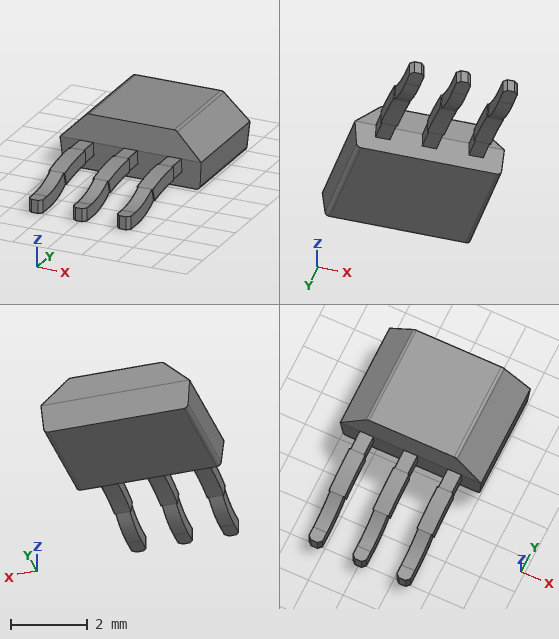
import cadquery as cq
import math


overall_length = 6.18
housing_width = 4.06
housing_length = 3.0
upper_height = 0.755
lower_height = 0.815
draft_inset = 0.07
upper_side_inset = upper_height
edge_radius = 0.125

lead_count = 3
lead_pitch = 1.265
lead_width = 0.39
bend_width = 0.45
shank_thickness = 0.385
foot_thickness = 0.37
tip_y = housing_length - overall_length
tip_chamfer = 0.1
foot_top_z = -0.42
foot_bottom_z = foot_top_z - foot_thickness

shank_top = (-0.56, 0.0)
shank_bottom = (-0.545, -shank_thickness)
joint_top = (-1.82, -0.155)
joint_bottom = (-1.705, -0.51)
foot_flat_top = (-2.825, foot_top_z)
foot_flat_bottom = (-2.695, foot_bottom_z)


def arc_middle(level_end, other_end):
    """Middle point of an arc that runs level (along Y) at level_end."""
    dy = other_end[0] - level_end[0]
    dz = other_end[1] - level_end[1]
    half_angle = math.atan2(abs(dz), abs(dy))
    radius = math.hypot(dy, dz) / (2 * math.sin(half_angle))
    run = math.copysign(radius * math.sin(half_angle), dy)
    rise = math.copysign(radius * (1 - math.cos(half_angle)), dz)
    return (level_end[0] + run, level_end[1] + rise)


def extrude_across(profile, width):
    """Extrude a closed YZ profile symmetrically along X."""
    return profile.extrude(width / 2, both=True)


def make_housing():
    half_width = housing_width / 2
    half_top = half_width - upper_side_inset
    half_bottom = half_width - draft_inset
    cross_section = (
        cq.Workplane("XZ")
        .polyline([
            (-half_width, 0),
            (-half_top, upper_height),
            (half_top, upper_height),
            (half_width, 0),
            (half_bottom, -lower_height),
            (-half_bottom, -lower_height),
        ])
        .close()
        .extrude(-housing_length)
        .edges("|Y and (>Z or <Z)")
        .fillet(edge_radius)
    )
    side_profile = cq.Workplane("YZ").polyline([
        (0, 0),
        (draft_inset, upper_height),
        (housing_length - draft_inset, upper_height),
        (housing_length, 0),
        (housing_length - draft_inset, -lower_height),
        (draft_inset, -lower_height),
    ]).close()
    return cross_section.intersect(extrude_across(side_profile, housing_width))


def make_shank():
    root_bottom_y = draft_inset * shank_thickness / lower_height
    profile = cq.Workplane("YZ").polyline([
        (0, 0),
        shank_top,
        shank_bottom,
        (root_bottom_y, -shank_thickness),
    ]).close()
    return extrude_across(profile, lead_width)


def make_bend():
    profile = (
        cq.Workplane("YZ")
        .moveTo(*shank_top)
        .threePointArc(arc_middle(shank_top, joint_top), joint_top)
        .lineTo(*joint_bottom)
        .threePointArc(arc_middle(shank_bottom, joint_bottom), shank_bottom)
        .close()
    )
    return extrude_across(profile, bend_width)


def make_foot():
    profile = (
        cq.Workplane("YZ")
        .moveTo(*joint_top)
        .threePointArc(arc_middle(foot_flat_top, joint_top), foot_flat_top)
        .lineTo(tip_y, foot_top_z)
        .lineTo(tip_y, foot_bottom_z)
        .lineTo(*foot_flat_bottom)
        .threePointArc(arc_middle(foot_flat_bottom, joint_bottom), joint_bottom)
        .close()
    )
    foot = extrude_across(profile, lead_width)
    return foot.faces("<Y").edges("|Z").chamfer(tip_chamfer)


def make_lead(x):
    lead = make_shank().union(make_bend()).union(make_foot())
    return lead.translate((x, 0, 0)).solids().val()


housing = make_housing()

leads = []
for index in range(lead_count):
    lead_x = (index - (lead_count - 1) / 2) * lead_pitch
    leads.append(make_lead(lead_x))

result = cq.Compound.makeCompound([housing.solids().val(), *leads])